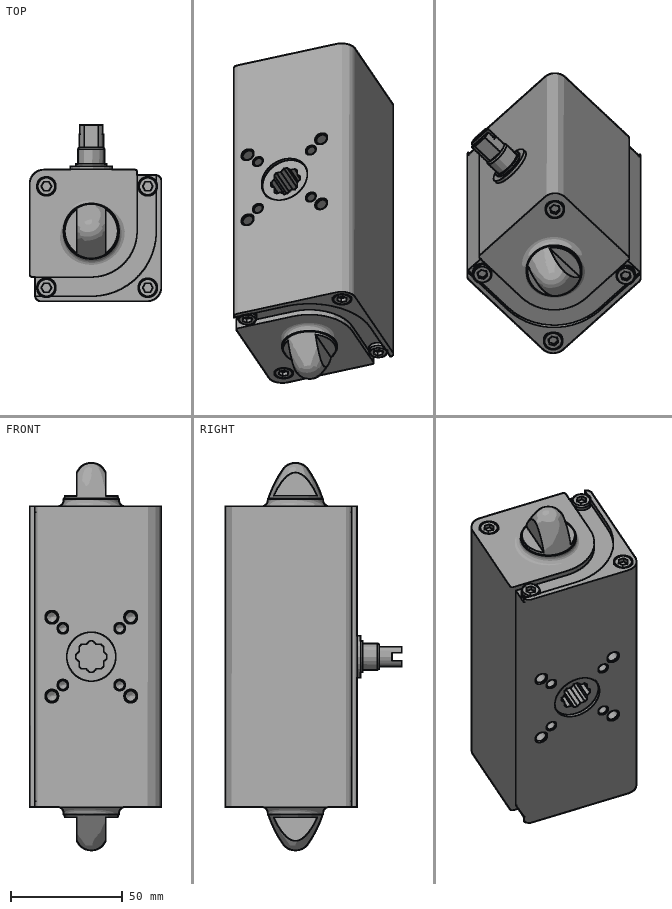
import cadquery as cq
import math


HOUSING_LENGTH = 135.0
HALF_LENGTH = HOUSING_LENGTH / 2
CAP_FAR = 27.7
CAP_NEAR = 20.6
BASE_FAR = 31.5
BASE_NEAR = 25.3
OUTER_CORNER_RADIUS = 6.5
CAP_SIDE_RADIUS = 1.2
BASE_SIDE_RADIUS = 2.8

POCKET_REACH = 29.2
POCKET_DEPTH = 2.6
SCREW_SPACING = 45.5
SCREW_CENTRE_OFFSET = 2.6
SCREW_HEAD_DIAMETER = 8.57
SCREW_CHAMFER_WIDTH = 0.45
SCREW_CHAMFER_HEIGHT = 1.0
HEX_ACROSS_FLATS = 4.0
HEX_DEPTH = 2.0

DOME_HEIGHT = 19.5
COLLAR_RADIUS = 12.5
COLLAR_FILLET = 2.6
COLLAR_TOP = 3.2
SEAT_RADIUS = 12.2
SEAT_HEIGHT = 3.5
FLANK_MID_RADIUS = 9.9
FLANK_MID_HEIGHT = 9.2
TIP_RADIUS = 5.2
TIP_HEIGHT = 17.2
DOME_FLAT_WIDTH = 13.2
DOME_FLAT_HEIGHT = 4.6

INNER_HOLES = (36.0, 4.13, 5.0, 10.0)
OUTER_HOLES = (50.0, 4.92, 6.0, 12.0)
DRILL_POINT_ANGLE = 118.0

SHAFT_DIAMETER = 22.0
SHAFT_RECESS = 1.5
BACK_WALL = 8.0
STAR_SQUARE = 11.0
STAR_TIP_DIAMETER = 14.1
STAR_DEPTH = 16.0
FLANGE_DIAMETER = 19.0
FLANGE_HEIGHT = 1.5
DISC_DIAMETER = 14.1
DISC_TOP = 2.5
NECK_DIAMETER = 12.0
NECK_TOP = 9.0
STEM_DIAMETER = 11.0
STEM_START = 10.0
STEM_TOP = 20.0
STEM_FLAT_WIDTH = 9.0
SLOT_WIDTH = 3.5
SLOT_DEPTH = 4.3

FRONT_Y = -BASE_FAR
BACK_Y = CAP_FAR
SHAFT_FRONT_Y = FRONT_Y + SHAFT_RECESS
SHOULDER_Y = BACK_Y - BACK_WALL


def square_prism(x_min, x_max, y_min, y_max, length, diagonal_radii, side_radius):
    """Prism centred on Z = 0 with rounded corners.

    diagonal_radii are the radii of the (-X, +Y) and (+X, -Y) corners, and
    side_radius is that of the other two. A radius of 0 leaves a sharp corner.
    """
    prism = cq.Workplane("XY").box(x_max - x_min, y_max - y_min, length)
    prism = prism.translate(((x_min + x_max) / 2, (y_min + y_max) / 2, 0))
    upper_left_radius, lower_right_radius = diagonal_radii
    corners = (
        (x_min, y_max, upper_left_radius),
        (x_max, y_min, lower_right_radius),
        (x_min, y_min, side_radius),
        (x_max, y_max, side_radius),
    )
    for x, y, radius in corners:
        if radius > 0:
            prism = prism.edges(cq.NearestToPointSelector((x, y, 0))).fillet(radius)
    return prism


def cap_prism():
    """Full-length square part of the housing around the domes."""
    return square_prism(
        -CAP_FAR, CAP_NEAR, -CAP_NEAR, CAP_FAR, HOUSING_LENGTH,
        (OUTER_CORNER_RADIUS, CAP_NEAR), CAP_SIDE_RADIUS,
    )


def base_prism():
    """Full-length square part of the housing that carries the front face."""
    return square_prism(
        -BASE_NEAR, BASE_FAR, -BASE_FAR, BASE_NEAR, HOUSING_LENGTH,
        (0, OUTER_CORNER_RADIUS), BASE_SIDE_RADIUS,
    )


def pocketed_block():
    """Base with an L-shaped pocket at both ends, between the cap and an outer rim."""
    pocket_floor_length = HOUSING_LENGTH - 2 * POCKET_DEPTH
    opening = square_prism(
        -BASE_FAR, POCKET_REACH, -POCKET_REACH, BASE_FAR, HOUSING_LENGTH,
        (0, POCKET_REACH), 0,
    )
    rim = base_prism().cut(opening)
    between_floors = cq.Workplane("XY").box(HOUSING_LENGTH, HOUSING_LENGTH, pocket_floor_length)
    core = base_prism().intersect(between_floors)
    return core.union(rim).union(cap_prism())


def on_both_ends(top_feature):
    """The feature at the +Z end together with its mirror image at the -Z end."""
    return top_feature, top_feature.mirror("XY")


def screw_positions():
    half = SCREW_SPACING / 2
    return [
        (SCREW_CENTRE_OFFSET + side_x * half, -SCREW_CENTRE_OFFSET + side_y * half)
        for side_x in (-1, 1)
        for side_y in (-1, 1)
    ]


def screw_bore(x, y):
    return (
        cq.Workplane("XY", origin=(x, y, HALF_LENGTH - POCKET_DEPTH))
        .circle(SCREW_HEAD_DIAMETER / 2)
        .extrude(POCKET_DEPTH)
    )


def screw_head(x, y):
    """Screw head flush with the housing end, with a bevelled rim and a hex socket."""
    hex_across_corners = HEX_ACROSS_FLATS / math.cos(math.pi / 6)
    return (
        screw_bore(x, y)
        .faces(">Z")
        .chamfer(SCREW_CHAMFER_HEIGHT, SCREW_CHAMFER_WIDTH)
        .faces(">Z")
        .workplane(centerOption="CenterOfBoundBox")
        .polygon(6, hex_across_corners)
        .cutBlind(-HEX_DEPTH)
    )


def end_dome():
    """Domed end at the +Z side, on a filleted collar and cut to a blade by two flats."""
    fillet_centre_radius = COLLAR_RADIUS + COLLAR_FILLET
    fillet_mid = COLLAR_FILLET * (1 - math.sqrt(0.5))
    tip_rise = DOME_HEIGHT - TIP_HEIGHT
    tip_sphere_radius = (TIP_RADIUS**2 + tip_rise**2) / (2 * tip_rise)
    tip_mid_radius = TIP_RADIUS / 2
    tip_mid_height = DOME_HEIGHT - tip_sphere_radius + math.sqrt(tip_sphere_radius**2 - tip_mid_radius**2)
    dome = (
        cq.Workplane("XZ")
        .moveTo(0, 0)
        .lineTo(fillet_centre_radius, 0)
        .threePointArc((COLLAR_RADIUS + fillet_mid, fillet_mid), (COLLAR_RADIUS, COLLAR_FILLET))
        .lineTo(COLLAR_RADIUS, COLLAR_TOP)
        .lineTo(SEAT_RADIUS, SEAT_HEIGHT)
        .threePointArc((FLANK_MID_RADIUS, FLANK_MID_HEIGHT), (TIP_RADIUS, TIP_HEIGHT))
        .threePointArc((tip_mid_radius, tip_mid_height), (0, DOME_HEIGHT))
        .close()
        .revolve(360, (0, 0, 0), (0, 1, 0))
    )
    cut_size = 2 * fillet_centre_radius
    for side in (-1, 1):
        flat_cut = (
            cq.Workplane("XY")
            .box(cut_size, cut_size, DOME_HEIGHT, centered=(True, True, False))
            .translate((side * (DOME_FLAT_WIDTH + cut_size) / 2, 0, DOME_FLAT_HEIGHT))
        )
        dome = dome.cut(flat_cut)
    return dome.translate((0, 0, HALF_LENGTH))


def mounting_hole(x, z, core_diameter, mouth_diameter, depth):
    """Blind hole from the front face with a 45 degree countersink and a drill point."""
    core_radius = core_diameter / 2
    mouth_radius = mouth_diameter / 2
    point_depth = core_radius / math.tan(math.radians(DRILL_POINT_ANGLE / 2))
    return (
        cq.Workplane("XY")
        .moveTo(0, 0)
        .lineTo(mouth_radius, 0)
        .lineTo(core_radius, mouth_radius - core_radius)
        .lineTo(core_radius, depth)
        .lineTo(0, depth + point_depth)
        .close()
        .revolve(360, (0, 0, 0), (0, 1, 0))
        .translate((x, FRONT_Y, z))
    )


def y_cylinder(diameter, y_start, y_end):
    return (
        cq.Workplane("XZ", origin=(0, y_start, 0))
        .circle(diameter / 2)
        .extrude(y_start - y_end)
    )


def build_housing():
    """Housing with end pockets, screws, domes, mounting holes and the stepped shaft bore."""
    housing = pocketed_block()
    for x, y in screw_positions():
        for bore in on_both_ends(screw_bore(x, y)):
            housing = housing.cut(bore)
        for head in on_both_ends(screw_head(x, y)):
            housing = housing.union(head)
    for dome in on_both_ends(end_dome()):
        housing = housing.union(dome)
    for pitch_circle, core_diameter, mouth_diameter, depth in (INNER_HOLES, OUTER_HOLES):
        offset = pitch_circle / 2 * math.sqrt(0.5)
        for side_x in (-1, 1):
            for side_z in (-1, 1):
                housing = housing.cut(
                    mounting_hole(side_x * offset, side_z * offset, core_diameter, mouth_diameter, depth)
                )
    housing = housing.cut(y_cylinder(SHAFT_DIAMETER, FRONT_Y, SHOULDER_Y))
    return housing.cut(y_cylinder(FLANGE_DIAMETER, SHOULDER_Y, BACK_Y))


def star_socket():
    """Eight-pointed socket in the front end of the shaft: two squares with trimmed tips."""
    star_end_y = SHAFT_FRONT_Y + STAR_DEPTH
    square = (
        cq.Workplane("XZ", origin=(0, SHAFT_FRONT_Y, 0))
        .rect(STAR_SQUARE, STAR_SQUARE)
        .extrude(-STAR_DEPTH)
    )
    turned_square = square.rotate((0, 0, 0), (0, 1, 0), 45)
    return square.union(turned_square).intersect(y_cylinder(STAR_TIP_DIAMETER, SHAFT_FRONT_Y, star_end_y))


def build_shaft():
    """Stepped shaft with a star socket at the front and a slotted, flatted stem at the rear."""
    shaft = y_cylinder(SHAFT_DIAMETER, SHAFT_FRONT_Y, SHOULDER_Y)
    shaft = shaft.union(y_cylinder(FLANGE_DIAMETER, SHOULDER_Y, BACK_Y + FLANGE_HEIGHT))
    shaft = shaft.union(y_cylinder(DISC_DIAMETER, BACK_Y + FLANGE_HEIGHT, BACK_Y + DISC_TOP))
    taper_height = STEM_START - NECK_TOP
    taper_width = (NECK_DIAMETER - STEM_DIAMETER) / 2
    neck = (
        y_cylinder(NECK_DIAMETER, BACK_Y + DISC_TOP, BACK_Y + STEM_START)
        .faces(">Y")
        .chamfer(taper_height, taper_width)
    )
    stem_length = STEM_TOP - STEM_START
    flats = cq.Workplane("XY").box(STEM_DIAMETER, stem_length, STEM_FLAT_WIDTH)
    flats = flats.translate((0, BACK_Y + STEM_START + stem_length / 2, 0))
    stem = y_cylinder(STEM_DIAMETER, BACK_Y + STEM_START, BACK_Y + STEM_TOP).intersect(flats)
    slot = cq.Workplane("XY").box(STEM_DIAMETER, SLOT_DEPTH, SLOT_WIDTH)
    slot = slot.translate((0, BACK_Y + STEM_TOP - SLOT_DEPTH / 2, 0))
    return shaft.union(neck).union(stem.cut(slot)).cut(star_socket())


housing = build_housing()
shaft = build_shaft()

result = cq.Compound.makeCompound([housing.solids().val(), shaft.solids().val()])